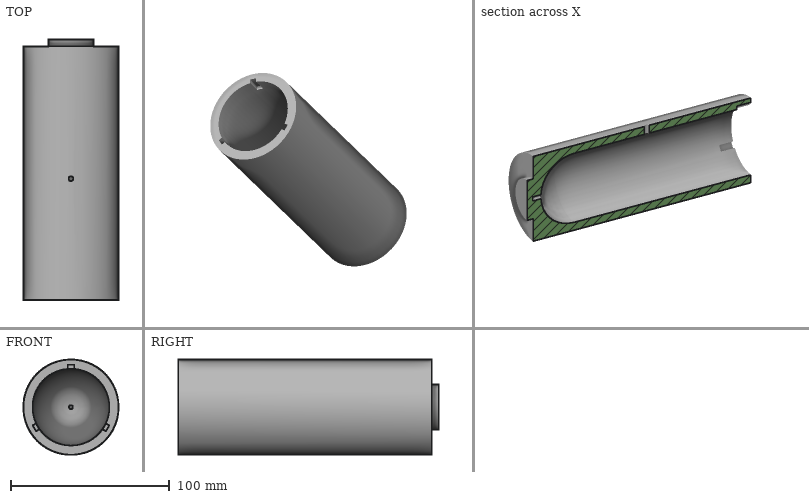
import cadquery as cq

BODY_DIAMETER = 60.26
BODY_LENGTH = 160.0
BORE_DIAMETER = 48.46
END_WALL = (BODY_DIAMETER - BORE_DIAMETER) / 2

BOSS_DIAMETER = 28.6
BOSS_HEIGHT = 4.4

AXIAL_HOLE_DIAMETER = 2.5
SIDE_HOLE_DIAMETER = 3.0
SIDE_HOLE_Y = 76.5

KEYWAY_COUNT = 3
KEYWAY_FLOOR_DISTANCE = 26.65
KEYWAY_WIDTH = 4.2
KEYWAY_LENGTH = 10.2


def cylinder_along_y(diameter, start_y, length):
    """Cylinder on the Y axis running from start_y toward +Y."""
    plane = cq.Plane(origin=(0, start_y, 0), xDir=(1, 0, 0), normal=(0, 1, 0))
    return cq.Workplane(plane).circle(diameter / 2).extrude(length)


def make_body():
    body = cylinder_along_y(BODY_DIAMETER, 0, BODY_LENGTH)
    boss = cylinder_along_y(BOSS_DIAMETER, BODY_LENGTH, BOSS_HEIGHT)
    return body.union(boss)


def make_domed_bore():
    """Straight bore that finishes in a hemisphere."""
    dome_radius = BORE_DIAMETER / 2
    dome_center_y = BODY_LENGTH - END_WALL - dome_radius
    dome_top_y = dome_center_y + dome_radius
    half_profile = (
        cq.Workplane("XY")
        .lineTo(dome_radius, 0)
        .lineTo(dome_radius, dome_center_y)
        .radiusArc((0, dome_top_y), -dome_radius)
        .close()
    )
    return half_profile.revolve(360, (0, 0), (0, 1))


def make_axial_hole():
    """Blind hole on the axis, from the dome to the base plane of the boss."""
    start_y = BODY_LENGTH - BORE_DIAMETER / 2
    return cylinder_along_y(AXIAL_HOLE_DIAMETER, start_y, BODY_LENGTH - start_y)


def make_side_hole():
    """Hole through the +Z wall into the bore."""
    return (
        cq.Workplane("XY")
        .center(0, SIDE_HOLE_Y)
        .circle(SIDE_HOLE_DIAMETER / 2)
        .extrude(BODY_DIAMETER / 2)
    )


def make_keyway(angle):
    """Rectangular keyway, turned about Y from the +Z position."""
    return (
        cq.Workplane("XY")
        .box(KEYWAY_WIDTH, KEYWAY_LENGTH, KEYWAY_FLOOR_DISTANCE, centered=(True, False, False))
        .rotate((0, 0, 0), (0, 1, 0), angle)
    )


result = make_body()
result = result.cut(make_domed_bore())
result = result.cut(make_axial_hole())
result = result.cut(make_side_hole())
for index in range(KEYWAY_COUNT):
    result = result.cut(make_keyway(index * 360 / KEYWAY_COUNT))